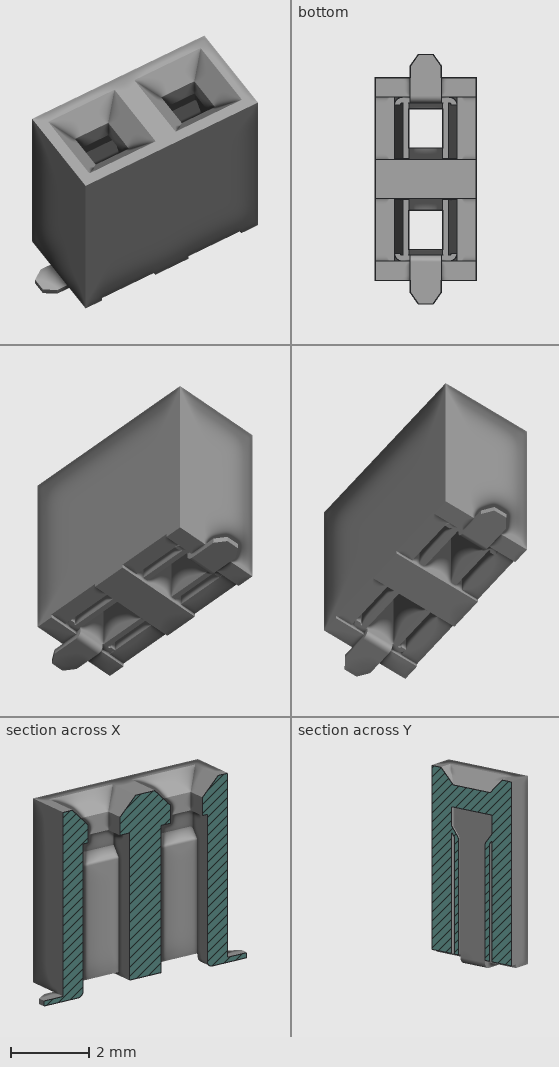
import cadquery as cq

BODY_X = 2.6
BODY_Y = 5.2
BODY_TOP = 5.0
PITCH = 2.6
POSITION_TURNS = (0, 180)

MOUTH = 2.0
THROAT = 1.0
MOUTH_DEPTH = 0.5
CAVITY = 1.6
CAVITY_TOP = 4.0
RELIEF_HEIGHT = 0.1

SHEET = 0.15
BEND_INNER = 0.05
BEND_OUTER = BEND_INNER + SHEET
ARM_END_GAP = 0.025
ARM_BEND_TOP = 3.5
ARM_BEND_BOTTOM = 3.22
ARM_BEND_RADIUS = 0.1
ARM_GAP = 0.86
FOOT_WIDTH = 0.8
FOOT_TIP_WIDTH = 0.38
FOOT_TIP_LENGTH = 0.3
FOOT_END = 3.2
FOOT_BEND = 0.17


def box(x_size, y_min, y_max, z_min, z_max):
    """Box centred on X, spanning the given Y and Z ranges."""
    base = cq.Workplane("XY", origin=(0, y_min, z_min))
    return base.box(x_size, y_max - y_min, z_max - z_min, centered=(True, False, False))


def make_socket():
    """Everything removed from the housing for the +Y position."""
    centre = PITCH / 2
    mouth = (
        cq.Workplane("XY", origin=(0, centre, BODY_TOP - MOUTH_DEPTH))
        .rect(THROAT, THROAT)
        .workplane(offset=MOUTH_DEPTH)
        .rect(MOUTH, MOUTH)
        .loft(ruled=True)
    )
    throat = box(THROAT, centre - THROAT / 2, centre + THROAT / 2, 0, BODY_TOP - MOUTH_DEPTH)
    cavity_start = centre - CAVITY / 2
    cavity_end = centre + CAVITY / 2
    cavity = box(CAVITY, cavity_start, cavity_end, 0, CAVITY_TOP)
    relief = box(BODY_X, cavity_start, cavity_end, 0, RELIEF_HEIGHT)
    return mouth.union(throat).union(cavity).union(relief)


def make_channel():
    """Upper contact: back plate against the outer cavity wall and two spring arms."""
    back = PITCH / 2 + CAVITY / 2
    front = PITCH / 2 - CAVITY / 2 + ARM_END_GAP
    half = CAVITY / 2
    outer = box(CAVITY, front, back, RELIEF_HEIGHT, CAVITY_TOP)
    outer = outer.edges("|Z and >Y").fillet(BEND_OUTER)
    inner = box(CAVITY - 2 * SHEET, front - SHEET, back - SHEET, RELIEF_HEIGHT, CAVITY_TOP)
    inner = inner.edges("|Z and >Y").fillet(BEND_INNER)
    channel = outer.cut(inner)

    arm_outline = [
        (half, ARM_BEND_TOP),
        (half - SHEET, ARM_BEND_TOP),
        (ARM_GAP / 2, ARM_BEND_BOTTOM),
        (ARM_GAP / 2, RELIEF_HEIGHT),
        (ARM_GAP / 2 + SHEET, RELIEF_HEIGHT),
        (ARM_GAP / 2 + SHEET, ARM_BEND_BOTTOM),
    ]
    arm_back = back - SHEET
    straight_arms = box(CAVITY, front, arm_back - BEND_INNER, RELIEF_HEIGHT, ARM_BEND_TOP)
    arm = cq.Workplane("XZ", origin=(0, arm_back, 0)).polyline(arm_outline).close().extrude(arm_back - front)
    bend_point = (ARM_GAP / 2, PITCH / 2, ARM_BEND_BOTTOM)
    arm = arm.edges(cq.selectors.NearestToPointSelector(bend_point)).fillet(ARM_BEND_RADIUS)
    return channel.cut(straight_arms).union(arm).union(arm.mirror("YZ"))


def make_foot():
    """Solder foot: short leg down from the back plate, bent outward to a tapered tip."""
    leg_back = PITCH / 2 + CAVITY / 2
    leg_front = leg_back - SHEET
    leg = box(FOOT_WIDTH, leg_front, leg_back, -SHEET, RELIEF_HEIGHT)
    pad = box(FOOT_WIDTH, leg_front, FOOT_END, -SHEET, 0)
    tip_inset = (FOOT_WIDTH - FOOT_TIP_WIDTH) / 2
    pad = pad.edges("|Z and >Y").chamfer(FOOT_TIP_LENGTH, tip_inset)
    return leg.union(pad).edges("|X and <Y and <Z").fillet(FOOT_BEND)


socket = make_socket()
contact = make_channel().union(make_foot())

result = box(BODY_X, -BODY_Y / 2, BODY_Y / 2, 0, BODY_TOP)
for turn in POSITION_TURNS:
    result = result.cut(socket.rotate((0, 0, 0), (0, 0, 1), turn))
    result = result.union(contact.rotate((0, 0, 0), (0, 0, 1), turn))